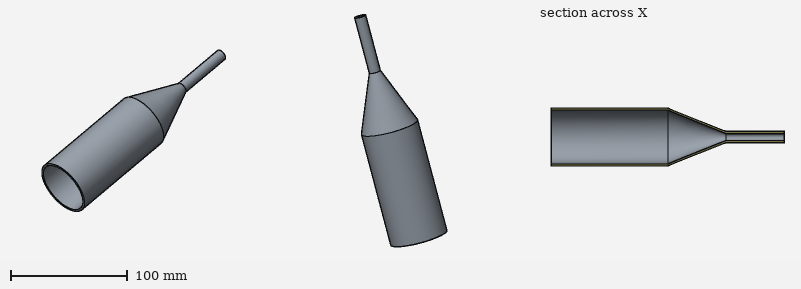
import cadquery as cq

body_length = 100.0
cone_length = 50.0
stem_length = 50.0
body_diameter = 50.0
stem_diameter = 10.0
body_wall = 2.0
stem_wall = 2.2

cone_start = body_length
cone_end = cone_start + cone_length
stem_tip = cone_end + stem_length


def revolved_profile(body_radius, stem_radius):
    """Solid of revolution about Y: wide cylinder, cone, narrow stem."""
    return (
        cq.Workplane("XY")
        .moveTo(0, 0)
        .lineTo(body_radius, 0)
        .lineTo(body_radius, cone_start)
        .lineTo(stem_radius, cone_end)
        .lineTo(stem_radius, stem_tip)
        .lineTo(0, stem_tip)
        .close()
        .revolve(360, (0, 0, 0), (0, 1, 0))
    )


outside = revolved_profile(body_diameter / 2, stem_diameter / 2)

passage = revolved_profile(body_diameter / 2 - body_wall, stem_diameter / 2 - stem_wall)

result = outside.cut(passage)